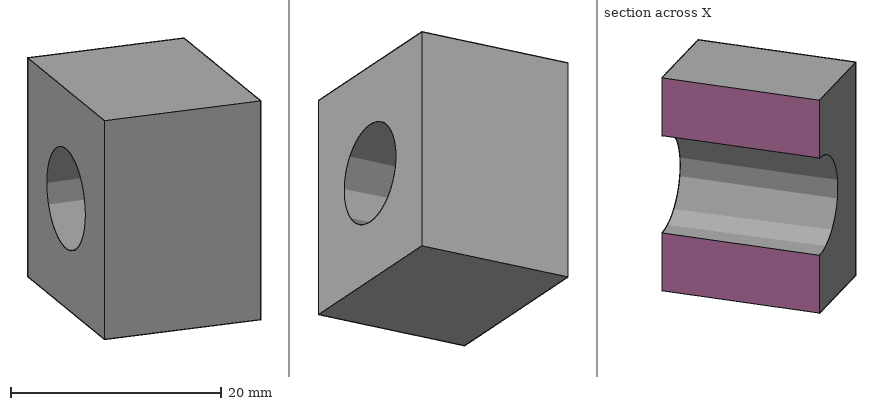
import cadquery as cq

width = 20.0
depth = 16.0
height = 22.0

bore_diameter = width / 2

block = cq.Workplane("XY").box(width, depth, height)

result = block.faces("<Y").workplane(centerOption="CenterOfMass").hole(bore_diameter)